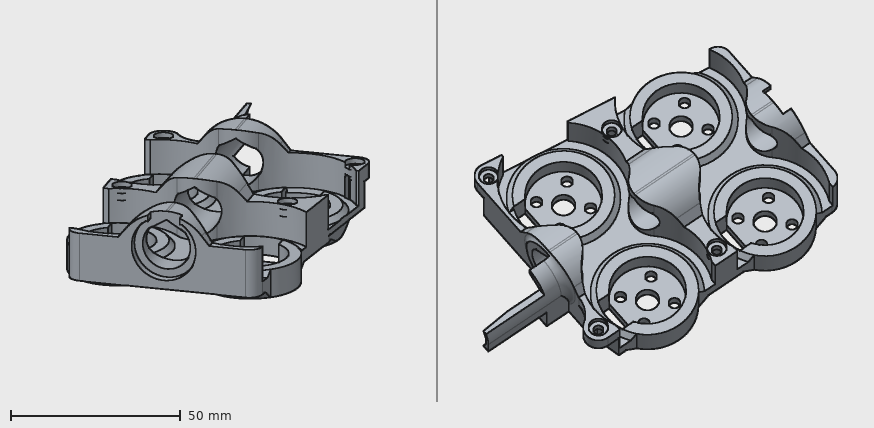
import cadquery as cq
import math

floor_bottom_z = 3.0
floor_z = 7.1
ring_top_z = 8.8
tab_bottom_z = 13.2
deck_z = 18.0
top_z = 26.5

left_x = -30.0
back_y = 86.1
corner_radius = 4.2
front_right_x = 25.0
total_length = 116

ring_x = 20.3
front_ring_y = 21.6
back_ring_y = 65.3
ring_radius = 15.1
seat_radius = 11.4
clearance_radius = 19.5
clearance_blend_radius = 8.4
left_opening_half_width = 17.7
right_front_opening = (-17.4, 14.2)
right_back_opening = (-13.0, 9.3)
shaft_hole_diameter = 7
screw_hole_diameter = 3.5
screw_hole_offset = 5.7
slot_half_width = 5.9
slot_start = 9.7

mount_hole_diameter = 3.0
mount_recess_diameter = 5.8
mount_web_bottom_z = 14.2
mount_web_top_z = 16.4
middle_mount_x = 25.4
middle_mount_y = (front_ring_y + back_ring_y) / 2
left_tab_radius = 4.5
left_tab_x = left_x + left_tab_radius
left_tab_y = 87.6
relief_radius = 3.0
left_relief_tilt = 13
right_tab_x = 34.9
right_tab_y = back_y - corner_radius
corner_underside_z = 5.0

axis_z = 15.7
tunnel_half_width = 14.0
tunnel_arc_radius = 14.3
ridge_half_width = 0.3
tunnel_arc_end_x = 11.6
bore_radius = 7.3
bore_tip_height = 8.1
bore_roof_angle = 40
front_seat_depth = 3.0
front_seat_radius = 9.9
front_seat_top_z = 23.8
front_slot_half_width = 4.9

tube_radius = 9.3
tube_right_x = -0.9
tube_end_y = 94.3
tube_fillet = 2.9
rim_end_y = 87
fin_half_height = 4.4
fin_taper_start_y = 106.3
fin_tip_inner_radius = 8.1

ring_centers = [(x, y) for x in (-ring_x, ring_x) for y in (front_ring_y, back_ring_y)]
mount_points = [
    (left_tab_x, left_tab_y),
    (right_tab_x, right_tab_y),
    (-middle_mount_x, middle_mount_y),
    (middle_mount_x, middle_mount_y),
]


def box(x_range, y_range, z_range):
    """Box between two limits on each axis."""
    size = [high - low for low, high in (x_range, y_range, z_range)]
    corner = (x_range[0], y_range[0], z_range[0])
    return cq.Workplane("XY").box(*size, centered=False).translate(corner)


def cylinder(center, radius, z_range):
    """Upright cylinder between two heights."""
    return (
        cq.Workplane("XY", origin=(0, 0, z_range[0]))
        .center(*center)
        .circle(radius)
        .extrude(z_range[1] - z_range[0])
    )


def lengthwise(y_range):
    """Workplane across the bore axis at the start of y_range, and the depth to extrude."""
    return cq.Workplane("XZ", origin=(0, y_range[0], axis_z)), y_range[0] - y_range[1]


def rod(radius, y_range):
    """Cylinder along the bore axis."""
    plane, depth = lengthwise(y_range)
    return plane.circle(radius).extrude(depth)


def body_prism(z_range):
    """Body outline: straight left side, slanted right side, three round corners."""
    dx = right_tab_x - front_right_x
    dy = right_tab_y - corner_radius
    span = math.hypot(dx, dy)
    normal = (dy / span, -dx / span)
    left = (left_x + corner_radius, corner_radius)
    lower = (front_right_x, corner_radius)
    upper = (right_tab_x, right_tab_y)
    half = math.sqrt(0.5)

    def on_corner(center, direction):
        return tuple(c + corner_radius * d for c, d in zip(center, direction))

    return (
        cq.Workplane("XY", origin=(0, 0, z_range[0]))
        .moveTo(left_x + corner_radius, 0)
        .lineTo(front_right_x, 0)
        .threePointArc(on_corner(lower, (half, -half)), on_corner(lower, normal))
        .lineTo(*on_corner(upper, normal))
        .threePointArc(on_corner(upper, (half, half)), (right_tab_x, back_y))
        .lineTo(left_x, back_y)
        .lineTo(left_x, corner_radius)
        .threePointArc(on_corner(left, (-half, -half)), (left_x + corner_radius, 0))
        .close()
        .extrude(z_range[1] - z_range[0])
    )


def tab_relief(center, side, tilt):
    """Space under a corner tab, open outwards and backwards, with a round inner corner."""
    reach = 11.6
    shift = reach / 2 - relief_radius
    relief = (
        cq.Workplane("XY")
        .center(side * shift, shift)
        .rect(reach, reach)
        .extrude(tab_bottom_z)
        .edges("|Z")
        .edges("<Y")
        .edges("<X" if side > 0 else ">X")
        .fillet(relief_radius)
    )
    return relief.rotate((0, 0, 0), (0, 0, 1), tilt).translate((*center, 0))


def left_tab():
    """Rounded tab that runs into the back face with a tangent concave arc."""
    end_x = -tunnel_half_width
    dx = end_x - left_tab_x
    rise = left_tab_y - back_y
    blend = (dx**2 + rise**2 - left_tab_radius**2) / (2 * (left_tab_radius + rise))
    center = (end_x, back_y + blend)
    share = left_tab_radius / (left_tab_radius + blend)
    joint = (left_tab_x + share * dx, left_tab_y + share * (center[1] - left_tab_y))
    half_angle = math.atan2(end_x - joint[0], center[1] - joint[1]) / 2
    middle = (end_x - blend * math.sin(half_angle), center[1] - blend * math.cos(half_angle))
    inner_y = back_y - left_tab_radius
    return (
        cq.Workplane("XY", origin=(0, 0, tab_bottom_z))
        .moveTo(left_x, inner_y)
        .lineTo(left_x, left_tab_y)
        .threePointArc((left_tab_x, left_tab_y + left_tab_radius), joint)
        .threePointArc(middle, (end_x, back_y))
        .lineTo(end_x, inner_y)
        .close()
        .extrude(deck_z - tab_bottom_z)
    )


def tunnel(y_range, bottom_z):
    """Flat ridge, two arcs and tangent flanks down to the deck, on straight sides."""
    center_z = top_z - tunnel_arc_radius
    run = tunnel_arc_end_x - ridge_half_width
    arc_end_z = center_z + math.sqrt(tunnel_arc_radius**2 - run**2)
    half_angle = math.asin(run / tunnel_arc_radius) / 2
    middle_x = ridge_half_width + tunnel_arc_radius * math.sin(half_angle)
    middle_z = center_z + tunnel_arc_radius * math.cos(half_angle)
    return (
        cq.Workplane("XZ", origin=(0, y_range[0], 0))
        .moveTo(-tunnel_half_width, bottom_z)
        .lineTo(-tunnel_half_width, deck_z)
        .lineTo(-tunnel_arc_end_x, arc_end_z)
        .threePointArc((-middle_x, middle_z), (-ridge_half_width, top_z))
        .lineTo(ridge_half_width, top_z)
        .threePointArc((middle_x, middle_z), (tunnel_arc_end_x, arc_end_z))
        .lineTo(tunnel_half_width, deck_z)
        .lineTo(tunnel_half_width, bottom_z)
        .close()
        .extrude(y_range[0] - y_range[1])
    )


def bore():
    """Bore through the tunnel and the tube, round below and with a pointed roof."""
    plane, depth = lengthwise((0, total_length))
    angle = math.radians(bore_roof_angle)
    side = (bore_radius * math.cos(angle), bore_radius * math.sin(angle))
    return (
        plane.moveTo(0, bore_tip_height)
        .lineTo(*side)
        .threePointArc((0, -bore_radius), (-side[0], side[1]))
        .close()
        .extrude(depth)
    )


def front_seat():
    """Flat-topped round seat in the front face with a slot up through the roof."""
    y_range = (0, front_seat_depth)
    seat = rod(front_seat_radius, y_range).intersect(
        box((-ring_x, ring_x), y_range, (0, front_seat_top_z))
    )
    slot_x = (-front_slot_half_width, front_slot_half_width)
    return seat.union(box(slot_x, y_range, (axis_z, top_z)))


def clearance_pair(center_y):
    """Pocket around a left and a right ring, blended into each other across the middle."""
    reach = clearance_radius + clearance_blend_radius
    blend_dy = math.sqrt(reach**2 - ring_x**2)
    joint_x = ring_x * clearance_blend_radius / reach
    joint_dy = blend_dy * clearance_radius / reach
    waist_dy = blend_dy - clearance_blend_radius
    pocket = (
        cq.Workplane("XY", origin=(0, center_y, floor_z))
        .moveTo(-ring_x, joint_dy)
        .lineTo(-joint_x, joint_dy)
        .threePointArc((0, waist_dy), (joint_x, joint_dy))
        .lineTo(ring_x, joint_dy)
        .lineTo(ring_x, -joint_dy)
        .lineTo(joint_x, -joint_dy)
        .threePointArc((0, -waist_dy), (-joint_x, -joint_dy))
        .lineTo(-ring_x, -joint_dy)
        .close()
        .extrude(top_z - floor_z)
    )
    for x in (-ring_x, ring_x):
        pocket = pocket.union(cylinder((x, center_y), clearance_radius, (floor_z, top_z)))
    return pocket


def side_opening(side, center_y, offsets):
    """Straight mouth of a pocket in the left or right side of the body."""
    x_range = sorted((side * ring_x, side * 2 * ring_x))
    return box(x_range, [center_y + offset for offset in offsets], (floor_z, top_z))


def cone(center, z_wide, z_narrow):
    """45 degree skirt that narrows to the ring radius at z_narrow."""
    rise = z_narrow - z_wide
    return (
        cq.Workplane("XZ", origin=(center[0], center[1], 0))
        .moveTo(0, z_wide)
        .lineTo(ring_radius + abs(rise), z_wide)
        .lineTo(ring_radius, z_narrow)
        .lineTo(0, z_narrow)
        .close()
        .revolve(360, (0, 0), (0, 1))
    )


def ring_cut(center):
    """Seat, shaft hole, four screw holes and the slot inside one ring."""
    x, y = center
    z_range = (0, ring_top_z)
    slot_x = (x - slot_half_width, x + slot_half_width)
    slot = cylinder(center, ring_radius, z_range).intersect(
        box(slot_x, (y + slot_start, y + ring_radius), z_range)
    )
    skirt_end = y + ring_radius + floor_bottom_z
    skirt_gap = box(slot_x, (y + slot_start, skirt_end), (0, floor_bottom_z))
    cut = slot.union(skirt_gap)
    cut = cut.union(cylinder(center, seat_radius, (floor_bottom_z, ring_top_z)))
    cut = cut.union(cylinder(center, shaft_hole_diameter / 2, z_range))
    for dx in (-screw_hole_offset, screw_hole_offset):
        for dy in (-screw_hole_offset, screw_hole_offset):
            cut = cut.union(cylinder((x + dx, y + dy), screw_hole_diameter / 2, z_range))
    return cut


def mount_cut(center):
    """Through hole with a recess above and below a thin web."""
    recess = mount_recess_diameter / 2
    return (
        cylinder(center, mount_hole_diameter / 2, (0, deck_z))
        .union(cylinder(center, recess, (0, mount_web_bottom_z)))
        .union(cylinder(center, recess, (mount_web_top_z, deck_z)))
    )


def rear_tube():
    """Left half of a tube on a solid foot, with a concave flare at its root."""
    fillet_middle = tube_fillet * (1 - math.sqrt(0.5))
    reach = tube_radius + tube_fillet
    flare = (
        cq.Workplane("XY", origin=(0, back_y, axis_z))
        .lineTo(reach, 0)
        .threePointArc((tube_radius + fillet_middle, fillet_middle), (tube_radius, tube_fillet))
        .lineTo(0, tube_fillet)
        .close()
        .revolve(360, (0, 0), (0, 1))
    )
    y_range = (back_y, tube_end_y)
    left_half = box((-reach, tube_right_x), y_range, (floor_bottom_z, top_z))
    rim = box((-reach, reach), (back_y, rim_end_y), (floor_bottom_z, top_z))
    foot = box((-tube_radius, tube_right_x), y_range, (floor_bottom_z, axis_z))
    tube = rod(tube_radius, y_range).union(flare).intersect(tunnel(y_range, 0))
    return tube.intersect(left_half.union(rim)).union(foot)


def fin():
    """Strip of the tube wall that runs on to the rear, thinned from inside near its tip."""
    y_range = (back_y, total_length)
    z_range = (axis_z - fin_half_height, axis_z + fin_half_height)
    strip = box((-tube_radius, 0), y_range, z_range)
    flat_side = box((-tube_radius, 0), y_range, (z_range[0], axis_z))
    taper = (
        cq.Workplane("XY", origin=(0, 0, axis_z))
        .moveTo(0, fin_taper_start_y)
        .lineTo(bore_radius, fin_taper_start_y)
        .lineTo(fin_tip_inner_radius, total_length)
        .lineTo(0, total_length)
        .close()
        .revolve(360, (0, 0), (0, 1))
    )
    return rod(tube_radius, y_range).intersect(strip).union(flat_side).cut(taper)


body = body_prism((floor_bottom_z, deck_z))
body = body.cut(tab_relief((left_tab_x, left_tab_y), -1, left_relief_tilt))
body = body.cut(tab_relief((right_tab_x, right_tab_y), 1, 0))
body = body.union(left_tab()).union(tunnel((0, back_y), floor_z))

body = body.union(rear_tube()).union(fin())
body = body.cut(bore())
body = body.cut(front_seat())

for mount_point in mount_points:
    body = body.cut(mount_cut(mount_point))

left_opening = (-left_opening_half_width, left_opening_half_width)
for ring_y, right_opening in (
    (front_ring_y, right_front_opening),
    (back_ring_y, right_back_opening),
):
    body = body.cut(clearance_pair(ring_y))
    body = body.cut(side_opening(-1, ring_y, left_opening))
    body = body.cut(side_opening(1, ring_y, right_opening))

corner_cut = box((ring_x + ring_radius, 2 * ring_x), (middle_mount_y, back_y), (0, corner_underside_z))
body = body.cut(corner_cut)

for ring_center in ring_centers:
    skirt = cone(ring_center, floor_bottom_z, 0).union(cone(ring_center, floor_z, ring_top_z))
    skirt = skirt.intersect(body_prism((0, ring_top_z))).cut(corner_cut)
    body = body.union(skirt).union(cylinder(ring_center, ring_radius, (0, ring_top_z)))
for ring_center in ring_centers:
    body = body.cut(ring_cut(ring_center))

skirt_reach = ring_radius + ring_top_z - floor_z
body = body.cut(
    box(
        (ring_x - slot_half_width, ring_x + slot_half_width),
        (back_ring_y + slot_start, back_ring_y + skirt_reach),
        (floor_z, ring_top_z),
    )
)

result = body